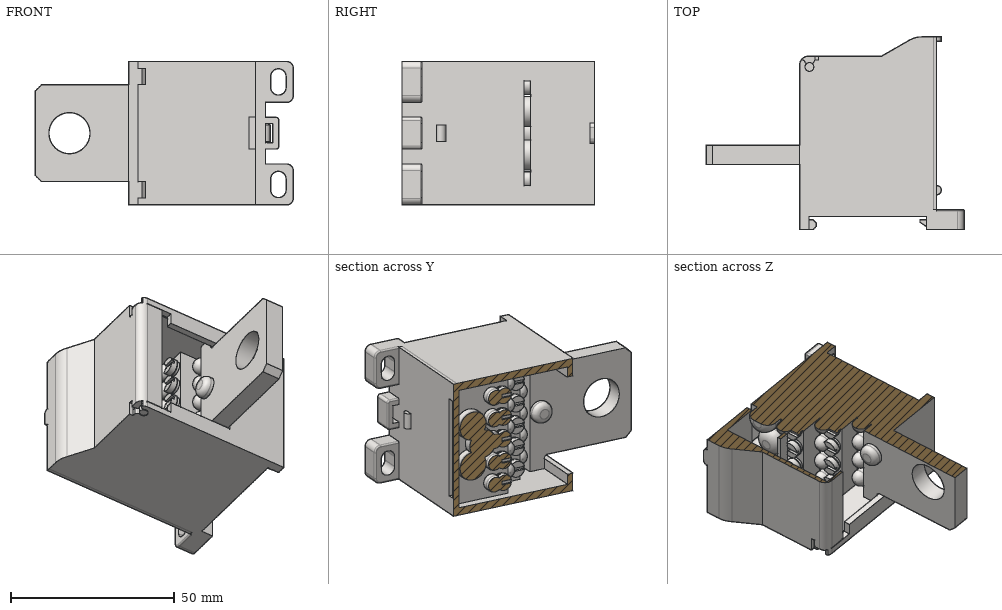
import cadquery as cq


width = 44.0
half_width = width / 2
depth = 42.05
top = 53.2
hood_top = 59.2
hood_start = 25.1
hood_slope_end = (33.3, 57.9)
hood_arc_mid = (35.3, 58.85)
hood_arc_end = 37.5
nose_radius = 2.7
rail_top = 3.95
rail_front = 2.9
rail_back = 38.9
rear_edge_chamfer = (1.0, 0.1)

flange_end = 50.5
flange_height = 6.2
flange_edge_radius = 0.5
ear_inner = 9.4
ear_radius = 2.05
ear_slot = (4.7, 8.0)
ear_slot_x = 45.9
latch_end = 46.1
latch_half = 4.9
latch_radius = 0.95
window_end = 44.2
window_half = 2.9

hook_end = 5.15
hook_top = 3.1
hook_chamfer = 1.0
hook_inner = 14.9
hook_outer = 19.9
catch_reach = 2.0
catch_tip_low = 2.2
catch_root_low = 0.95

tab_length = 28.7
tab_half = 14.9
tab_bottom = 19.95
tab_top = 25.9
tab_chamfer = 2.0
tab_hole_diameter = 12.5
tab_hole_x = -18.1
tab_root_radius = 1.1

front_wall = 2.0
rear_wall = 2.05
cavity_half = 19.4
cavity_top = 51.6
cover_half = 19.9
cover_bottom = 45.15
cover_thickness = 0.95
cover_seam = (0.15, 0.8)
cover_seam_top = 50.7
shoulder = 41.9
slot_half = 16.1
rear_window_top = 39.5
baffle_front = 24.55
baffle_thickness = 1.2
baffle_bottom = 41.65
baffle_top = 44.9

tab_inner_end = 7.1
pit_floor = 22.2
pit_back = 12.7
middle_level = 29.7
middle_back = 21.4
upper_level = 37.55

screw_pitch = 7.2
screw_count = 5
pit_dome_x = 9.9
middle_screw_x = 15.45
upper_screw_x = 24.15
dome_offset = 3.2
collar_radius = 2.3
collar_height = 0.95
head_radius = 2.6
head_top = 3.1
slot_width = 1.0
slot_depth = 0.9
dome_radius = 2.6
dome_height = 4.35
dome_round = 2.5
big_screw_center_x = 31.7
big_screw_side_x = 35.2
big_screw_pitch = 6.65
big_screw_radius = 4.7
big_screw_height = 5.55
big_screw_round = 3.2
tab_screw_x = 3.6
tab_screw_radius = 3.5
tab_screw_height = 2.9
tab_screw_round = 1.9

pin_x = 3.0
pin_y = 49.9
pin_radius = 1.35
pin_recess = 0.2
notch_start = (0, 51.55)
notch_arc_mid = (0.95, 52.0)
notch_arc_end = (1.7, 51.25)
notch_back = (4.3, 51.25)
gap_start = 4.7
gap_end = 5.9
gap_bottom = 51.95
gap_inner = 17.4

lug_radius = 1.4
lower_lug_y = 12.1
lower_lug_half = 2.5
upper_lug_half = 3.2


def block(x_range, y_range, z_range):
    """Box given by its lower and upper limit on each axis."""
    (x0, x1), (y0, y1), (z0, z1) = x_range, y_range, z_range
    return cq.Workplane("XY").box(x1 - x0, y1 - y0, z1 - z0, centered=False).translate((x0, y0, z0))


def post(x, y, z, radius, height):
    """Cylinder standing along +Y on the point (x, y, z)."""
    return cq.Workplane("XZ").circle(radius).extrude(-height).translate((x, y, z))


def mirrored(shape):
    """The shape together with its mirror image across Z = 0."""
    return shape.union(shape.mirror("XY"))


def make_housing():
    housing = (
        cq.Workplane("XY")
        .workplane(offset=-half_width)
        .lineTo(rail_front, 0)
        .lineTo(rail_front, rail_top)
        .lineTo(rail_back, rail_top)
        .lineTo(rail_back, 0)
        .lineTo(depth, 0)
        .lineTo(depth, hood_top)
        .lineTo(hood_arc_end, hood_top)
        .threePointArc(hood_arc_mid, hood_slope_end)
        .lineTo(hood_start, top)
        .lineTo(0, top)
        .close()
        .extrude(width)
    )
    nose_edge = cq.selectors.NearestToPointSelector((0, top, 0))
    housing = housing.edges(nose_edge).fillet(nose_radius)
    back_length, side_length = rear_edge_chamfer
    edge_wedge = (
        cq.Workplane("XZ")
        .polyline([
            (depth, half_width),
            (depth, half_width - side_length),
            (depth - back_length, half_width),
        ])
        .close()
        .extrude(flange_height - hood_top)
        .translate((0, flange_height, 0))
    )
    return housing.cut(mirrored(edge_wedge))


def make_flange():
    flange = block((rail_back, flange_end), (0, flange_height), (-half_width, half_width))
    flange = flange.edges("|Y and >X").fillet(ear_radius)
    for side in (-1, 1):
        middle = side * (ear_inner + latch_half) / 2
        gap = ear_inner - latch_half
        notch = block(
            (depth, flange_end), (0, flange_height), (middle - gap / 2, middle + gap / 2)
        )
        flange = flange.cut(notch)
        corner = cq.selectors.NearestToPointSelector((flange_end, flange_height / 2, side * ear_inner))
        flange = flange.edges(corner).fillet(ear_radius)
    flange = flange.cut(
        block((latch_end, flange_end), (0, flange_height), (-latch_half, latch_half))
    )
    for side in (-1, 1):
        corner = cq.selectors.NearestToPointSelector((latch_end, flange_height / 2, side * latch_half))
        flange = flange.edges(corner).fillet(latch_radius)
    flange = flange.faces(">Y").edges("not <X").fillet(flange_edge_radius)

    slot_size, slot_length = ear_slot
    slots = (
        cq.Workplane("XZ")
        .pushPoints([(ear_slot_x, side * (ear_inner + half_width) / 2) for side in (-1, 1)])
        .slot2D(slot_length, slot_size, 90)
        .extrude(-flange_height)
    )
    window = block((depth, window_end), (0, flange_height), (-window_half, window_half))
    return flange.cut(slots).cut(window)


def make_rail_hooks():
    hook = block((rail_front, hook_end), (0, hook_top), (hook_inner, hook_outer))
    return mirrored(hook.edges("|Z and >X").chamfer(hook_chamfer))


def make_rail_catch():
    return (
        cq.Workplane("XY")
        .workplane(offset=-latch_half)
        .polyline([
            (rail_back, hook_top),
            (rail_back - catch_reach, hook_top),
            (rail_back - catch_reach, catch_tip_low),
            (rail_back, catch_root_low),
        ])
        .close()
        .extrude(2 * latch_half)
    )


def make_tab():
    thickness = tab_top - tab_bottom
    tab = block((-tab_length, tab_inner_end), (tab_bottom, tab_top), (-tab_half, tab_half))
    tab = tab.edges("|Y and <X").chamfer(tab_chamfer)
    tab = tab.cut(post(tab_hole_x, tab_bottom, 0, tab_hole_diameter / 2, thickness))
    root = block((front_wall, tab_inner_end), (tab_bottom, tab_top), (-slot_half, slot_half))
    tab = tab.union(root)
    for side in (-1, 1):
        corner = cq.selectors.NearestToPointSelector(
            (front_wall, (tab_bottom + tab_top) / 2, side * tab_half)
        )
        tab = tab.edges(corner).fillet(tab_root_radius)
    return tab


def make_inner_space():
    rear = depth - rear_wall
    space = (
        cq.Workplane("XY")
        .workplane(offset=-cavity_half)
        .polyline([
            (front_wall, tab_top),
            (tab_inner_end, tab_top),
            (tab_inner_end, pit_floor),
            (pit_back, pit_floor),
            (pit_back, middle_level),
            (middle_back, middle_level),
            (middle_back, upper_level),
            (rear, upper_level),
            (rear, cavity_top),
            (front_wall, cavity_top),
        ])
        .close()
        .extrude(2 * cavity_half)
    )
    cavity_width = (-cavity_half, cavity_half)
    behind_cover = block((cover_thickness, front_wall), (cover_bottom, cavity_top), cavity_width)
    baffle = block(
        (baffle_front, baffle_front + baffle_thickness), (baffle_bottom, baffle_top), cavity_width
    )
    return space.union(behind_cover).cut(baffle)


def make_wall_openings():
    cable_opening = block((0, front_wall), (shoulder, cover_bottom), (-cover_half, cover_half))
    tab_opening = block((0, front_wall), (tab_bottom, shoulder), (-slot_half, slot_half))
    rear_window = block(
        (depth - rear_wall, depth), (upper_level, rear_window_top), (-slot_half, slot_half)
    )
    return cable_opening.union(tab_opening).union(rear_window)


def make_slotted_screw(x, level, z):
    collar = post(x, level, z, collar_radius, collar_height)
    head = post(x, level + collar_height, z, head_radius, head_top - collar_height)
    slot = block(
        (x - head_radius, x + head_radius),
        (level + head_top - slot_depth, level + head_top),
        (z - slot_width / 2, z + slot_width / 2),
    )
    return collar.union(head).cut(slot)


def make_round_screw(x, level, z, radius, height, rounding):
    return post(x, level, z, radius, height).faces(">Y").edges().fillet(rounding)


def make_dome_screw(x, level, z):
    return make_round_screw(x, level, z, dome_radius, dome_height, dome_round)


def make_cover_seam():
    """Narrow groove between the cover and one side wall."""
    seam_width, seam_depth = cover_seam
    return block(
        (0, seam_depth), (cover_bottom, cover_seam_top), (cover_half - seam_width, cover_half)
    )


def make_hinge_notch():
    """Corner of one side wall cleared above the hinge pin, with the gap behind the cover."""
    notch = (
        cq.Workplane("XY")
        .workplane(offset=cover_half)
        .moveTo(*notch_start)
        .threePointArc(notch_arc_mid, notch_arc_end)
        .lineTo(pin_x, pin_y)
        .lineTo(*notch_back)
        .lineTo(gap_start, gap_bottom)
        .lineTo(gap_start, top)
        .lineTo(0, top)
        .close()
        .extrude(half_width - cover_half)
    )
    gap = block((gap_start, gap_end), (gap_bottom, top), (gap_inner, half_width))
    return notch.union(gap)


def make_hinge_pin(end_z):
    """Pin through one side wall, ending at the height end_z."""
    pin = cq.Workplane("XY").workplane(offset=cover_half).center(pin_x, pin_y).circle(pin_radius)
    return pin.extrude(end_z - cover_half)


def make_rear_lugs():
    lower = (
        cq.Workplane("XY")
        .workplane(offset=-lower_lug_half)
        .center(depth, lower_lug_y)
        .circle(lug_radius)
        .extrude(2 * lower_lug_half)
    )
    upper = block(
        (depth - rear_wall, depth + lug_radius),
        (hood_top - lug_radius, hood_top),
        (-upper_lug_half, upper_lug_half),
    )
    upper = upper.edges("|Y and >X").fillet(lug_radius)
    return lower.union(upper)


row_positions = [(i - (screw_count - 1) / 2) * screw_pitch for i in range(screw_count)]

result = make_housing().union(make_flange())
result = result.union(make_rail_hooks()).union(make_rail_catch())
result = result.cut(make_inner_space()).cut(make_wall_openings())
result = result.union(make_tab())

for z in row_positions:
    result = result.union(make_dome_screw(pit_dome_x, pit_floor, z))
    for screw_x, level in ((middle_screw_x, middle_level), (upper_screw_x, upper_level)):
        result = result.union(make_slotted_screw(screw_x, level, z))
        result = result.union(make_dome_screw(screw_x + dome_offset, level, z))

for screw_x, z in (
    (big_screw_side_x, -big_screw_pitch),
    (big_screw_center_x, 0),
    (big_screw_side_x, big_screw_pitch),
):
    screw = make_round_screw(
        screw_x, upper_level, z, big_screw_radius, big_screw_height, big_screw_round
    )
    result = result.union(screw)

result = result.union(
    make_round_screw(tab_screw_x, tab_top, 0, tab_screw_radius, tab_screw_height, tab_screw_round)
)

result = result.cut(mirrored(make_cover_seam()))
result = result.cut(mirrored(make_hinge_notch())).cut(mirrored(make_hinge_pin(half_width)))
result = result.union(mirrored(make_hinge_pin(half_width - pin_recess)))
result = result.union(make_rear_lugs())